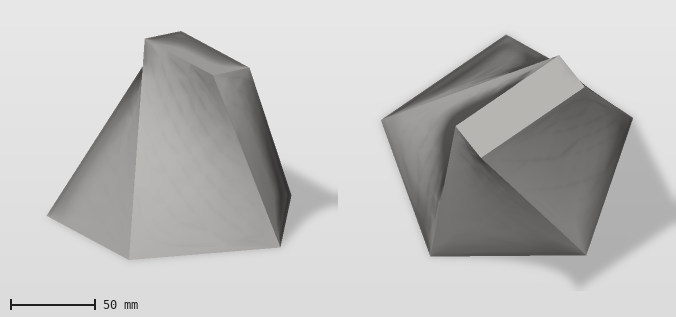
import cadquery as cq
import math

overall_width = 149.3
height = 101.7
top_width = 76.5
top_depth = 25.4
top_center_y = 12.7
side_count = 5

corner_angle = 2 * math.pi / side_count
base_radius = overall_width / (2 * math.sin(corner_angle))
base_points = [
    (-base_radius * math.sin(i * corner_angle), base_radius * math.cos(i * corner_angle))
    for i in range(side_count)
]

right_x = top_width / 2
left_x = -right_x
back_y = top_center_y + top_depth / 2
front_y = top_center_y - top_depth / 2
top_points = [
    (right_x, back_y),
    (left_x, back_y),
    (left_x, top_center_y),
    (left_x, front_y),
    (right_x, front_y),
]


def closed_loop(points, z):
    """Straight edges joining the points in order at height z, back to the first."""
    corners = [cq.Vector(x, y, z) for x, y in points]
    next_corners = corners[1:] + corners[:1]
    return [cq.Edge.makeLine(start, end) for start, end in zip(corners, next_corners)]


base_edges = closed_loop(base_points, 0)
top_edges = closed_loop(top_points, height)
side_faces = [
    cq.Face.makeRuledSurface(base_edge, top_edge)
    for base_edge, top_edge in zip(base_edges, top_edges)
]
end_faces = [
    cq.Face.makeFromWires(cq.Wire.assembleEdges(edges))
    for edges in (base_edges, top_edges)
]
shell = cq.Shell.makeShell(side_faces + end_faces)
result = cq.Workplane(obj=cq.Solid.makeSolid(shell))